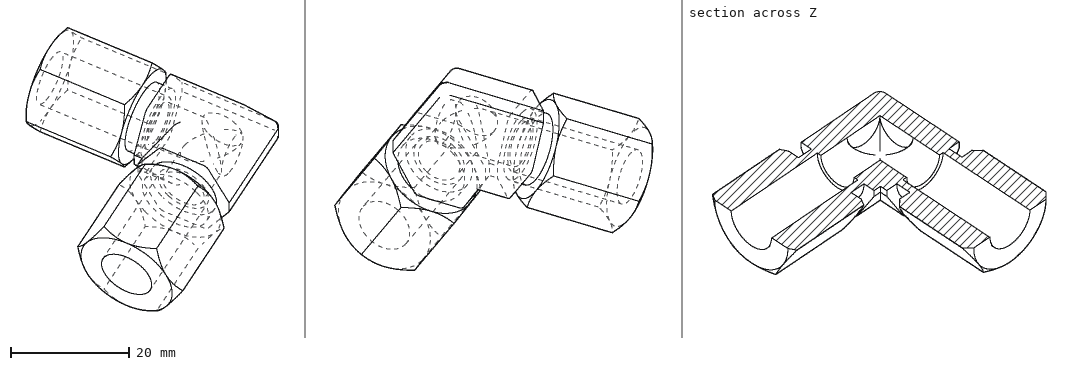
import cadquery as cq
import math


overall_size = 41.05
across_flats = 17.45
body_reach = 10.25
neck_length = 3.0
neck_radius = 6.32
tube_bore_radius = 4.8
through_bore_radius = 3.95
body_side = 8.75
side_half_height = 1.27
body_edge_radius = 1.25
outer_corner_radius = 1.35
x_nut_chamfer_angle = 30
y_nut_chamfer_angle = 45

half_flats = across_flats / 2
corner_radius = half_flats / math.cos(math.radians(30))
arm_reach = overall_size - corner_radius
nut_start = body_reach + neck_length
nut_length = arm_reach - nut_start
slope_run = (half_flats - side_half_height) / math.tan(math.radians(60))
top_half_width = body_side - slope_run

TURN_TO_X = -90


def cylinder(radius, start, end):
    """Cylinder along -Y between two distances from the elbow axis."""
    return cq.Workplane("XZ", origin=(0, -start, 0)).circle(radius).extrude(end - start)


def make_nut(chamfer_angle):
    """Hex nut along -Y with both ends turned to a cone."""
    hexagon = [
        (corner_radius * math.cos(math.radians(60 * i)), corner_radius * math.sin(math.radians(60 * i)))
        for i in range(6)
    ]
    nut = cq.Workplane("XZ", origin=(0, -nut_start, 0)).polyline(hexagon).close().extrude(nut_length)
    cone_depth = (corner_radius - half_flats) * math.tan(math.radians(chamfer_angle))
    envelope = (
        cq.Workplane("XY")
        .moveTo(0, -nut_start)
        .lineTo(half_flats, -nut_start)
        .lineTo(corner_radius, -nut_start - cone_depth)
        .lineTo(corner_radius, -arm_reach + cone_depth)
        .lineTo(half_flats, -arm_reach)
        .lineTo(0, -arm_reach)
        .close()
        .revolve(360, (0, 0, 0), (0, 1, 0))
    )
    return nut.intersect(envelope)


def make_body():
    """Elbow of two flattened hexagonal arms joined on a miter."""
    section = [
        (body_side, side_half_height),
        (top_half_width, half_flats),
        (-top_half_width, half_flats),
        (-body_side, side_half_height),
        (-body_side, -side_half_height),
        (-top_half_width, -half_flats),
        (top_half_width, -half_flats),
        (body_side, -side_half_height),
    ]
    bar = (
        cq.Workplane("XZ", origin=(0, body_reach, 0))
        .polyline(section)
        .close()
        .extrude(2 * body_reach)
        .edges("|Y and (>Z or <Z)")
        .fillet(body_edge_radius)
    )
    miter = (
        cq.Workplane("XY", origin=(0, 0, -half_flats))
        .polyline([(-body_reach, -body_reach), (body_reach, -body_reach), (body_reach, body_reach)])
        .close()
        .extrude(across_flats)
    )
    y_arm = bar.intersect(miter)
    x_arm = y_arm.mirror("YZ").rotate((0, 0, 0), (0, 0, 1), TURN_TO_X)
    body = y_arm.union(x_arm)

    box_margin = 0.4
    outer_edges = cq.selectors.BoxSelector(
        (top_half_width + box_margin, top_half_width + box_margin, -half_flats + box_margin),
        (body_side + box_margin, body_side + box_margin, half_flats - box_margin),
    )
    return body.edges(outer_edges).fillet(outer_corner_radius)


def make_end(chamfer_angle):
    """Neck and nut of one arm along -Y."""
    return cylinder(neck_radius, 0, nut_start).union(make_nut(chamfer_angle))


def make_bore():
    """Tube socket down to the body face, then a bore that crosses the other arm's bore."""
    socket = cylinder(tube_bore_radius, body_reach, arm_reach)
    return socket.union(cylinder(through_bore_radius, -through_bore_radius, arm_reach))


def turned_to_x(arm):
    return arm.rotate((0, 0, 0), (0, 0, 1), TURN_TO_X)


result = (
    make_body()
    .union(make_end(y_nut_chamfer_angle))
    .union(turned_to_x(make_end(x_nut_chamfer_angle)))
    .cut(make_bore())
    .cut(turned_to_x(make_bore()))
)